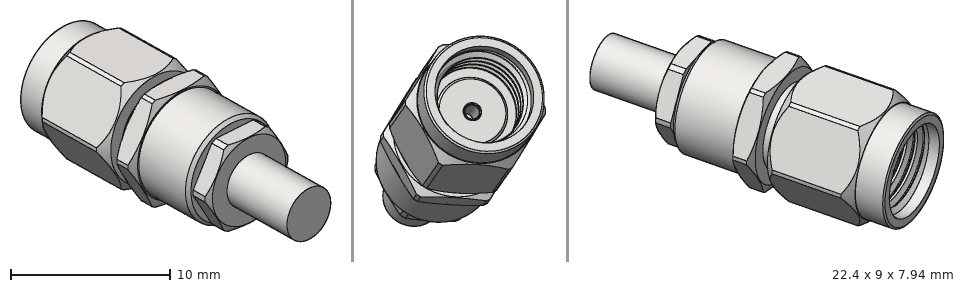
import cadquery as cq
import math


length = 22.42
hex_start = 2.06
nut_end = 8.4
body_hex_start = 9.28
body_hex_end = 10.87
body_end = 15.4
clamp_hex_start = 15.6
clamp_hex_end = 16.93

large_flats = 7.94
large_corners = 9.0
clamp_flats = 6.4
clamp_corners = 7.15

nose_diameter = 7.73
nose_chamfer_length = 0.1
nose_face_diameter = 7.47
nut_chamfer_length = 0.67
nut_hex_end_diameter = 7.82

bore_diameter = 6.35
thread_minor_diameter = 5.58
thread_root_diameter = 6.28
thread_pitch = 0.706
crest_width = 0.18
root_width = 0.1
counterbore_depth = 0.76
lead_in = (bore_diameter - thread_minor_diameter) / 2
relief_start = 3.63
groove_start = 0.4

flange_front = 3.81
flange_length = 0.9
shank_diameter = 5.92
plug_diameter = 4.57
plug_face_diameter = 4.28
plug_front = 3.7
sleeve_diameter = 7.65
sleeve_chamfer = 0.25
body_hex_chamfer_length = 0.3
body_hex_end_diameter = 7.85
contact_recess_diameter = 1.17
contact_recess_depth = 0.07
contact_mouth_diameter = 1.0
contact_diameter = 0.92
contact_depth = 2.02

clamp_neck_diameter = 5.34
cable_diameter = 3.8
clamp_chamfer_length = 0.22
clamp_hex_end_diameter = 6.32


def turned(profile):
    """Revolve (x, diameter) points, closed along the axis, about the X axis."""
    points = [(x, diameter / 2) for x, diameter in profile]
    outline = [(points[0][0], 0)] + points + [(points[-1][0], 0)]
    return cq.Workplane("XY").polyline(outline).close().revolve(360, (0, 0), (1, 0))


def cylinder(start, end, diameter):
    return turned([(start, diameter), (end, diameter)])


def hexagon(start, end, flats, envelope):
    """Hexagonal prism, flats facing +Z and -Z, trimmed by a turned envelope."""
    prism = (
        cq.Workplane("YZ", origin=(start, 0, 0))
        .polygon(6, flats, circumscribed=True)
        .extrude(end - start)
        .rotate((0, 0, 0), (1, 0, 0), 90)
    )
    return prism.intersect(turned(envelope))


def thread_groove():
    """Right-handed helical groove that leaves the thread crests in the nut bore."""
    turns = math.ceil((relief_start - groove_start) / thread_pitch)
    mouth_width = thread_pitch - crest_width
    minor_radius = thread_minor_diameter / 2
    root_radius = thread_root_diameter / 2
    overshoot = 0.11
    flank_slope = (mouth_width - root_width) / 2 / (root_radius - minor_radius)
    half_root = root_width / 2
    half_open = mouth_width / 2 + overshoot * flank_slope
    open_radius = minor_radius - overshoot
    path = cq.Wire.makeHelix(thread_pitch, turns * thread_pitch, minor_radius)
    cutter = (
        cq.Workplane("XZ")
        .polyline([
            (open_radius, -half_open),
            (root_radius, -half_root),
            (root_radius, half_root),
            (open_radius, half_open),
        ])
        .close()
        .sweep(cq.Workplane(obj=path), isFrenet=True)
    )
    return (
        cutter.rotate((0, 0, 0), (0, 1, 0), 90)
        .rotate((0, 0, 0), (1, 0, 0), -90)
        .translate((groove_start, 0, 0))
    )


def make_coupling_nut():
    nose = turned([
        (0, nose_face_diameter),
        (nose_chamfer_length, nose_diameter),
        (hex_start, nose_diameter),
    ])
    hex_part = hexagon(hex_start, nut_end, large_flats, [
        (hex_start, nut_hex_end_diameter),
        (hex_start + nut_chamfer_length, large_corners),
        (nut_end - nut_chamfer_length, large_corners),
        (nut_end, nut_hex_end_diameter),
    ])
    bore = turned([
        (0, bore_diameter),
        (counterbore_depth, bore_diameter),
        (counterbore_depth + lead_in, thread_minor_diameter),
        (relief_start, thread_minor_diameter),
        (relief_start, bore_diameter),
        (flange_front + flange_length, bore_diameter),
        (flange_front + flange_length, shank_diameter),
        (nut_end, shank_diameter),
    ])
    return nose.union(hex_part).cut(bore).cut(thread_groove())


def make_body():
    front = turned([
        (plug_front, plug_face_diameter),
        (plug_front + (plug_diameter - plug_face_diameter) / 2, plug_diameter),
        (flange_front, plug_diameter),
        (flange_front, bore_diameter),
        (flange_front + flange_length, bore_diameter),
        (flange_front + flange_length, shank_diameter),
        (body_hex_start, shank_diameter),
    ])
    hex_part = hexagon(body_hex_start, body_hex_end, large_flats, [
        (body_hex_start, body_hex_end_diameter),
        (body_hex_start + body_hex_chamfer_length, large_corners),
        (body_hex_end - body_hex_chamfer_length, large_corners),
        (body_hex_end, body_hex_end_diameter),
    ])
    sleeve = turned([
        (body_hex_end, sleeve_diameter),
        (body_end - sleeve_chamfer, sleeve_diameter),
        (body_end, sleeve_diameter - 2 * sleeve_chamfer),
    ])
    contact_front = plug_front + contact_recess_depth
    contact_hole = turned([
        (plug_front, contact_recess_diameter),
        (contact_front, contact_recess_diameter),
        (contact_front, contact_mouth_diameter),
        (contact_front + (contact_mouth_diameter - contact_diameter) / 2, contact_diameter),
        (plug_front + contact_depth, contact_diameter),
    ])
    return front.union(hex_part).union(sleeve).cut(contact_hole)


def make_clamp_nut():
    neck = cylinder(body_end, clamp_hex_start, clamp_neck_diameter)
    hex_part = hexagon(clamp_hex_start, clamp_hex_end, clamp_flats, [
        (clamp_hex_start, clamp_corners),
        (clamp_hex_end - clamp_chamfer_length, clamp_corners),
        (clamp_hex_end, clamp_hex_end_diameter),
    ])
    cable_sleeve = cylinder(clamp_hex_end, length, cable_diameter)
    return neck.union(hex_part).union(cable_sleeve)


coupling_nut = make_coupling_nut()
body = make_body()
clamp_nut = make_clamp_nut()

result = cq.Compound.makeCompound([coupling_nut.val(), body.val(), clamp_nut.val()])